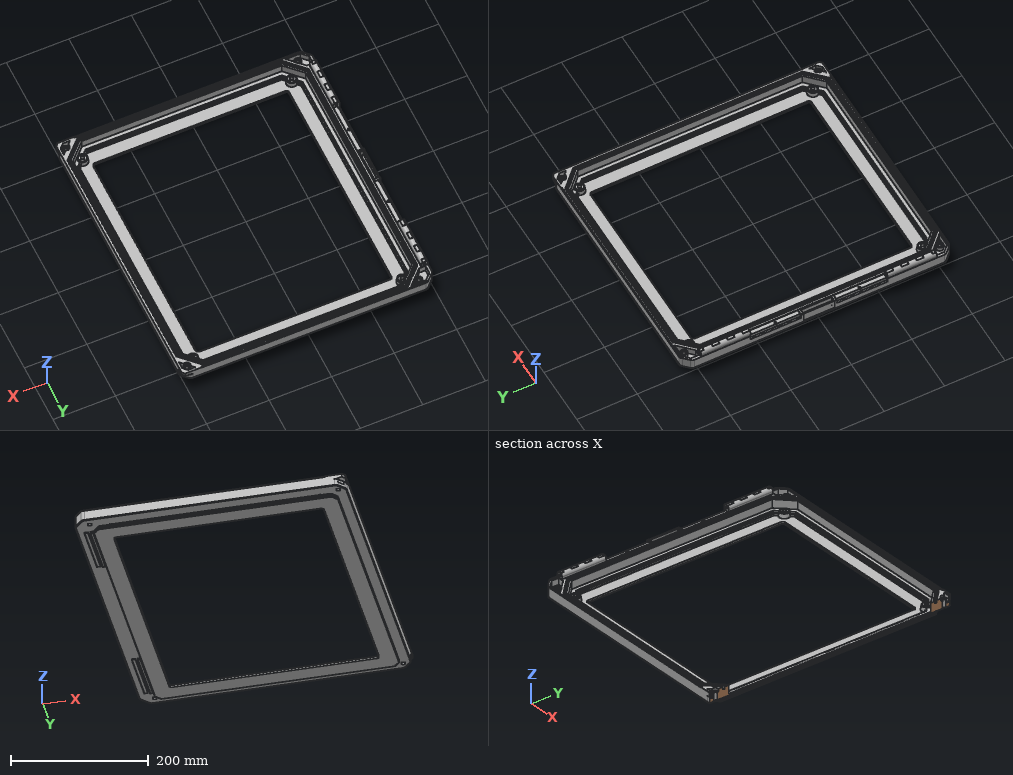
import cadquery as cq
import math

LENGTH_X = 405.38
LENGTH_Y = 446.66
HINGE_TOP_Z = 36.42
HINGE_OVERHANG = 10.2

FRAME_X = LENGTH_X - HINGE_OVERHANG
FRAME_Y = LENGTH_Y
HALF_X = FRAME_X / 2
HALF_Y = FRAME_Y / 2
HINGE_EDGE_X = -HALF_X - HINGE_OVERHANG

FLOOR_TOP_Z = 4.0
FLANGE_TOP_Z = 3.4
WALL_BOTTOM_Z = 7.2
INNER_STEP_Z = 7.5
LEDGE_Z = 11.0
RIM_Z = 26.5

HINGE_CORNER_CHAMFER = 13.5
FREE_CORNER_CHAMFER = 12.5
CORNER_BLEND_RADIUS = 8.0
BOTTOM_EDGE_CHAMFER = 1.0

GROOVE_OUTER_INSET = 4.6
GROOVE_OUTER_LEG = 29.0
GROOVE_INNER_INSET = 6.6
GROOVE_INNER_LEG = 28.0
GROOVE_BOTTOM_Z = 22.0
SEAT_INSET = 8.7
SEAT_LEG = 27.0
SEAT_Z = 25.7
WALL_INSET = 11.3
WALL_LEG = 26.5
LEDGE_INSET = 17.8
LEDGE_LEG = 23.0
FLOOR_INSET = 20.5
FLOOR_LEG = 21.5

SHOULDER_WIDTH = 1.5
SHOULDER_DEPTH = 0.8
SHOULDER_END_MARGIN = 30.0

FLANGE_X = 365.0
FLANGE_Y = 414.0
FLANGE_CORNER_CHAMFER = 8.0
FLANGE_EDGE_CHAMFER = 0.6
PLINTH_STEP = 1.6
WINDOW_X = 313.0
WINDOW_Y = 365.2
WINDOW_CORNER_RADIUS = 4.0

BOSS_INSET = 30.2
BOSS_BASE_DIAMETER = 18.0
BOSS_SHOULDER_DIAMETER = 15.5
BOSS_TOP_DIAMETER = 13.0
BOSS_SHOULDER_Z = 11.5
BOSS_TOP_Z = 13.0
BOSS_HOLE_DIAMETER = 5.77
BOSS_HOLE_DEPTH = 8.0

SCREW_INSET_X = 12.2
SCREW_INSET_Y = 11.8
SCREW_BOSS_DIAMETER = 11.05
SCREW_HOLE_DIAMETER = 5.56
SCREW_RECESS_DIAMETER = 7.94
SCREW_RECESS_DEPTH = 2.0
SCREW_BOSS_TOP_Z = 22.5
POCKET_FLOOR_Z = 15.0
POCKET_MARGIN = 4.0
HINGE_POCKET_MARGIN = 4.7
HINGE_POCKET_REACH = 27.0
HINGE_POCKET_NEAR = 18.5
HINGE_POCKET_FAR = 42.0
FREE_POCKET_NEAR = 15.0
FREE_POCKET_FAR = 26.0

TAB_CORNER_CHAMFER = 4.0
TAB_EDGE_Z = 18.8
TAB_TIP_Z = 22.0

BARREL_DIAMETER = 11.05
BARREL_RADIUS = BARREL_DIAMETER / 2
BARREL_SETBACK = 0.1
BARREL_X = HINGE_EDGE_X + BARREL_SETBACK + BARREL_RADIUS
BARREL_Z = HINGE_TOP_Z - BARREL_RADIUS
PIN_DIAMETER = 3.48
BARREL_Y_START = 113.3
BARREL_Y_END = 195.0
FLAT_DEPTH = 0.7
FLAT_LENGTH = 11.2
FLAT_PITCH = 25.0
FLAT_COUNT = 3
END_FLAT_LENGTH = 5.6

NOTCH_Z = 19.3
NOTCH_DEPTH_X = 3.4
NOTCH_Y_START = 29.5
SHELF_WIDTH = 10.8
LATCH_SHELF_DEPTH = 0.5
NOTCH_SHELF_DEPTH = 1.3
PILOT_X = HINGE_EDGE_X + 5.8
PILOT_Y = 69.5
PILOT_DIAMETER = PIN_DIAMETER
PILOT_DEPTH = 10.0

LATCH_LENGTH = 51.5
LATCH_RECESS = 0.4
LATCH_RECESS_Z = 10.6
LATCH_POCKET_X_START = 2.4
LATCH_POCKET_X_END = 8.7
LATCH_POCKET_DEPTH = 10.0

BOTTOM_RIBS = ((10.5, 16.0, 5.4), (19.3, 23.4, 3.8))
RIB_EMBED = 1.0


def box(x0, x1, y0, y1, z0, z1):
    size = (x1 - x0, y1 - y0, z1 - z0)
    return cq.Workplane("XY").box(*size, centered=False).translate((x0, y0, z0))


def mirrored_y(body):
    """The body together with its mirror image across the XZ plane."""
    return body.union(body.mirror("XZ"))


def cut_corner_block(size_x, size_y, leg, z0, z1):
    """Centred block with its four upright corners cut by the given leg."""
    block = cq.Workplane("XY").workplane(offset=z0).rect(size_x, size_y).extrude(z1 - z0)
    return block.edges("|Z").chamfer(leg)


def octagon(inset, leg, z0, z1):
    """Block with cut corners, inset from the frame edge all round."""
    return cut_corner_block(FRAME_X - 2 * inset, FRAME_Y - 2 * inset, leg, z0, z1)


def make_wall_block():
    """Outer block with hinge strip, cut corners and a chamfered bottom edge."""
    block = box(HINGE_EDGE_X, HALF_X, -HALF_Y, HALF_Y, WALL_BOTTOM_Z, RIM_Z)
    block = block.edges("|Z and <X").chamfer(HINGE_CORNER_CHAMFER)
    block = block.edges("|Z and >X").chamfer(FREE_CORNER_CHAMFER)
    block = block.edges("|Z").fillet(CORNER_BLEND_RADIUS)
    return block.faces("<Z").edges().chamfer(BOTTOM_EDGE_CHAMFER)


def make_corner_tab():
    """Rim fill above the free +X+Y corner, its underside rising towards the tip."""
    x0 = HALF_X - FREE_CORNER_CHAMFER - CORNER_BLEND_RADIUS
    y0 = HALF_Y - FREE_CORNER_CHAMFER - CORNER_BLEND_RADIUS
    tab = box(x0, HALF_X, y0, HALF_Y, TAB_EDGE_Z, RIM_Z)
    tab = tab.edges("|Z and >X and >Y").chamfer(TAB_CORNER_CHAMFER)
    run = FREE_CORNER_CHAMFER / math.sqrt(2)
    diagonal = cq.Plane(
        origin=(HALF_X, HALF_Y, 0), xDir=(-1, -1, 0), normal=(-1, 1, 0)
    )
    rise = TAB_TIP_Z - TAB_EDGE_Z
    wedge = (
        cq.Workplane(diagonal)
        .moveTo(run, TAB_EDGE_Z)
        .lineTo(-run, TAB_TIP_Z + rise)
        .lineTo(-run, TAB_EDGE_Z)
        .close()
        .extrude(2 * FREE_CORNER_CHAMFER, both=True)
    )
    return tab.cut(wedge)


def make_base_plate():
    """Flange at the bottom and the slightly smaller plinth that joins it to the wall."""
    flange = cut_corner_block(FLANGE_X, FLANGE_Y, FLANGE_CORNER_CHAMFER, 0, FLANGE_TOP_Z)
    flange = flange.faces("<Z").edges().chamfer(FLANGE_EDGE_CHAMFER)
    plinth = cut_corner_block(
        FLANGE_X - 2 * PLINTH_STEP, FLANGE_Y - 2 * PLINTH_STEP, FLANGE_CORNER_CHAMFER,
        FLANGE_TOP_Z, LEDGE_Z,
    )
    return flange.union(plinth)


def hollow_interior(body):
    """Stepped cavity, gasket groove in the rim and the window through the floor."""
    body = body.cut(octagon(WALL_INSET, WALL_LEG, LEDGE_Z, RIM_Z))
    body = body.cut(octagon(LEDGE_INSET, LEDGE_LEG, INNER_STEP_Z, RIM_Z))
    body = body.cut(octagon(FLOOR_INSET, FLOOR_LEG, FLOOR_TOP_Z, RIM_Z))
    body = body.cut(octagon(SEAT_INSET, SEAT_LEG, SEAT_Z, RIM_Z))
    groove = octagon(GROOVE_OUTER_INSET, GROOVE_OUTER_LEG, GROOVE_BOTTOM_Z, RIM_Z)
    groove = groove.cut(
        octagon(GROOVE_INNER_INSET, GROOVE_INNER_LEG, GROOVE_BOTTOM_Z, RIM_Z)
    )
    window = (
        cq.Workplane("XY")
        .rect(WINDOW_X, WINDOW_Y)
        .extrude(FLOOR_TOP_Z)
        .edges("|Z")
        .fillet(WINDOW_CORNER_RADIUS)
    )
    return body.cut(groove).cut(window)


def cut_rim_shoulders(body):
    """Shallow step along the top outer edge of both Y sides."""
    shoulder = box(
        HINGE_EDGE_X, HALF_X - SHOULDER_END_MARGIN, HALF_Y - SHOULDER_WIDTH, HALF_Y,
        RIM_Z - SHOULDER_DEPTH, RIM_Z,
    )
    return body.cut(mirrored_y(shoulder))


def diagonal_band(near, far, z0, z1):
    """Prism in a local corner frame between the lines u + v = near and u + v = far."""
    return (
        cq.Workplane("XY")
        .workplane(offset=z0)
        .polyline([(near, 0), (far, 0), (0, far), (0, near)])
        .close()
        .extrude(z1 - z0)
    )


def make_corner_pockets():
    """Pockets behind the +Y corners: the hinge corner and the free corner."""
    hinge_area = box(
        HINGE_POCKET_MARGIN, HINGE_POCKET_FAR, POCKET_MARGIN, HINGE_POCKET_REACH,
        POCKET_FLOOR_Z, RIM_Z,
    )
    hinge = diagonal_band(HINGE_POCKET_NEAR, HINGE_POCKET_FAR, POCKET_FLOOR_Z, RIM_Z)
    hinge = hinge.intersect(hinge_area).mirror("XZ").translate((HINGE_EDGE_X, HALF_Y, 0))

    free_area = box(
        POCKET_MARGIN, FREE_POCKET_FAR, POCKET_MARGIN, FREE_POCKET_FAR,
        POCKET_FLOOR_Z, RIM_Z,
    )
    free = diagonal_band(FREE_POCKET_NEAR, FREE_POCKET_FAR, POCKET_FLOOR_Z, RIM_Z)
    free = free.intersect(free_area).rotate((0, 0, 0), (0, 0, 1), 180)
    return hinge.union(free.translate((HALF_X, HALF_Y, 0)))


def corner_points(inset_x, inset_y):
    x = HALF_X - inset_x
    y = HALF_Y - inset_y
    return [(sx * x, sy * y) for sx in (-1, 1) for sy in (-1, 1)]


def cylinders(points, diameter, z0, z1):
    return (
        cq.Workplane("XY")
        .workplane(offset=z0)
        .pushPoints(points)
        .circle(diameter / 2)
        .extrude(z1 - z0)
    )


def add_screw_corners(body):
    """Corner pockets with a screw boss in each, drilled through from the top."""
    points = corner_points(SCREW_INSET_X, SCREW_INSET_Y)
    recess_z = SCREW_BOSS_TOP_Z - SCREW_RECESS_DEPTH
    body = body.cut(mirrored_y(make_corner_pockets()))
    body = body.cut(cylinders(points, SCREW_BOSS_DIAMETER, SCREW_BOSS_TOP_Z, RIM_Z))
    body = body.union(
        cylinders(points, SCREW_BOSS_DIAMETER, WALL_BOTTOM_Z, SCREW_BOSS_TOP_Z)
    )
    body = body.cut(cylinders(points, SCREW_RECESS_DIAMETER, recess_z, SCREW_BOSS_TOP_Z))
    return body.cut(cylinders(points, SCREW_HOLE_DIAMETER, 0, SCREW_BOSS_TOP_Z))


def add_floor_bosses(body):
    """Conical bosses with a round top and a blind hole, near the window corners."""
    points = corner_points(BOSS_INSET, BOSS_INSET)
    for x, y in points:
        cone = (
            cq.Workplane("XY", origin=(x, y, FLOOR_TOP_Z))
            .circle(BOSS_BASE_DIAMETER / 2)
            .workplane(offset=BOSS_SHOULDER_Z - FLOOR_TOP_Z)
            .circle(BOSS_SHOULDER_DIAMETER / 2)
            .loft(ruled=True)
        )
        body = body.union(cone)
    body = body.union(cylinders(points, BOSS_TOP_DIAMETER, FLOOR_TOP_Z, BOSS_TOP_Z))
    hole_bottom_z = BOSS_TOP_Z - BOSS_HOLE_DEPTH
    return body.cut(cylinders(points, BOSS_HOLE_DIAMETER, hole_bottom_z, BOSS_TOP_Z))


def make_hinge_barrel():
    """Hinge knuckle block on the +Y half, with flats on its crown and a pin hole."""
    length = BARREL_Y_END - BARREL_Y_START
    plane = cq.Plane(
        origin=(BARREL_X, BARREL_Y_START, BARREL_Z), xDir=(1, 0, 0), normal=(0, -1, 0)
    )
    foot = BARREL_Z - RIM_Z
    barrel = (
        cq.Workplane(plane)
        .moveTo(-BARREL_RADIUS, -foot)
        .lineTo(-BARREL_RADIUS, 0)
        .threePointArc((0, BARREL_RADIUS), (BARREL_RADIUS, 0))
        .lineTo(BARREL_RADIUS, -foot)
        .close()
        .extrude(-length)
    )
    spans = [(BARREL_Y_END - END_FLAT_LENGTH, BARREL_Y_END)]
    for i in range(FLAT_COUNT):
        start = BARREL_Y_START + i * FLAT_PITCH
        spans.append((start, start + FLAT_LENGTH))
    for y0, y1 in spans:
        barrel = barrel.cut(
            box(
                BARREL_X - BARREL_RADIUS, BARREL_X + BARREL_RADIUS, y0, y1,
                HINGE_TOP_Z - FLAT_DEPTH, HINGE_TOP_Z,
            )
        )
    pin = cq.Workplane(plane).circle(PIN_DIAMETER / 2).extrude(-length)
    return barrel.cut(pin)


def add_hinge_side(body):
    """Knuckles, bottom ribs, edge notches, pilot holes and the central latch recess."""
    body = body.union(mirrored_y(make_hinge_barrel()))

    for near, far, bottom_z in BOTTOM_RIBS:
        rib = box(
            HINGE_EDGE_X + near, HINGE_EDGE_X + far, BARREL_Y_START, BARREL_Y_END,
            bottom_z, WALL_BOTTOM_Z + RIB_EMBED,
        )
        body = body.union(mirrored_y(rib))

    shelf_edge_x = HINGE_EDGE_X + SHELF_WIDTH
    latch_shelf = box(
        HINGE_EDGE_X, shelf_edge_x, -NOTCH_Y_START, NOTCH_Y_START,
        RIM_Z - LATCH_SHELF_DEPTH, RIM_Z,
    )
    notch_shelf = box(
        HINGE_EDGE_X, shelf_edge_x, NOTCH_Y_START, BARREL_Y_START,
        RIM_Z - NOTCH_SHELF_DEPTH, RIM_Z,
    )
    body = body.cut(latch_shelf).cut(mirrored_y(notch_shelf))

    notch = box(
        HINGE_EDGE_X, HINGE_EDGE_X + NOTCH_DEPTH_X, NOTCH_Y_START, BARREL_Y_START,
        NOTCH_Z, RIM_Z,
    )
    body = body.cut(mirrored_y(notch))
    pilots = [(PILOT_X, PILOT_Y), (PILOT_X, -PILOT_Y)]
    body = body.cut(cylinders(pilots, PILOT_DIAMETER, RIM_Z - PILOT_DEPTH, RIM_Z))

    half = LATCH_LENGTH / 2
    recess = box(
        HINGE_EDGE_X, HINGE_EDGE_X + LATCH_RECESS, -half, half, LATCH_RECESS_Z, RIM_Z
    )
    pocket = box(
        HINGE_EDGE_X + LATCH_POCKET_X_START, HINGE_EDGE_X + LATCH_POCKET_X_END,
        -half, half, RIM_Z - LATCH_POCKET_DEPTH, RIM_Z,
    )
    return body.cut(recess).cut(pocket)


body = make_wall_block().union(mirrored_y(make_corner_tab()))
body = body.union(make_base_plate())
body = hollow_interior(body)
body = cut_rim_shoulders(body)
body = add_screw_corners(body)
body = add_floor_bosses(body)
result = add_hinge_side(body)